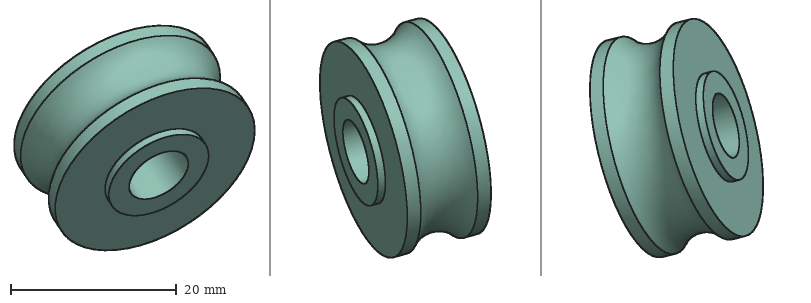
import cadquery as cq
import math

rim_diameter = 27.0
rim_width = 11.0
hub_diameter = 13.5
hub_width = 13.0
bore_diameter = 8.0
groove_radius = 5.0
groove_width = 7.45

rim_radius = rim_diameter / 2
groove_center_radius = rim_radius + math.sqrt(groove_radius**2 - (groove_width / 2) ** 2)
groove_bottom_radius = groove_center_radius - groove_radius


def axial_cylinder(diameter, width):
    """Cylinder along X, centred on the origin."""
    return cq.Workplane("YZ").circle(diameter / 2).extrude(width / 2, both=True)


def grooved_rim():
    """Wheel with a circular-arc groove, revolved about X."""
    half_width = rim_width / 2
    half_groove = groove_width / 2
    return (
        cq.Workplane("XY")
        .moveTo(-half_width, 0)
        .lineTo(-half_width, rim_radius)
        .lineTo(-half_groove, rim_radius)
        .threePointArc((0, groove_bottom_radius), (half_groove, rim_radius))
        .lineTo(half_width, rim_radius)
        .lineTo(half_width, 0)
        .close()
        .revolve(360, (0, 0, 0), (1, 0, 0))
    )


hub = axial_cylinder(hub_diameter, hub_width)
bore = axial_cylinder(bore_diameter, hub_width)

result = grooved_rim().union(hub).cut(bore)